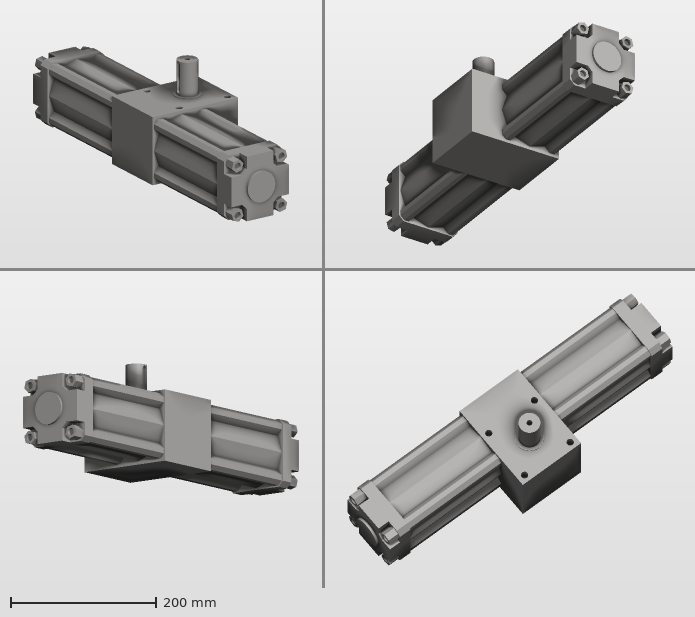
import cadquery as cq
import math


total_length = 502.0
total_height = 151.0

housing_length = 102.0
housing_depth = 141.0
housing_height = 100.0
shaft_to_back = 50.0
mount_hole_spacing = 80.0
mount_hole_diameter = 10.0
mount_hole_depth = 20.0

shaft_diameter = 30.0
shaft_collar_diameter = 40.0
shaft_collar_height = 1.0
center_hole_diameter = 8.0
center_hole_depth = 20.0
drill_point_angle = 118.0

keyway_width = 8.0
keyway_length = 45.0
keyway_top_gap = 2.0
keyway_depth = 4.0

cap_size = 95.0
cap_corner_chamfer = 7.5
cap_length = 36.0
boss_diameter = 45.0
boss_height = 4.0
pocket_size = 25.5
pocket_corner_chamfer = 7.5
pocket_depth = 17.5

nut_spacing = 72.5
nut_corner_diameter = 19.5
nut_recess = 1.0
nut_hole_diameter = 10.0
nut_hole_depth = 5.0

tube_width = 91.0
tube_corner_chamfer = 6.0
lug_inner_edge = 32.0
groove_depth = 8.0
ridge_height = 45.0

housing_back = shaft_to_back
housing_front = housing_back - housing_depth
axis_y = housing_front + cap_size / 2
axis_height = housing_height / 2
housing_bottom = -axis_height
housing_top = housing_bottom + housing_height
shaft_top = housing_bottom + total_height
tube_half_width = tube_width / 2
cap_face_x = total_length / 2 - boss_height
cap_inner_x = cap_face_x - cap_length
pocket_floor_x = cap_face_x - pocket_depth
quadrants = [(first, second) for first in (-1, 1) for second in (-1, 1)]


def cross_section(x):
    """Plane across the cylinder axis: local x is Y, local y is Z, extruding toward +X."""
    return cq.Workplane(cq.Plane((x, axis_y, 0), (0, 1, 0), (1, 0, 0)))


def drilled_hole(x, y, top, diameter, depth):
    """Blind vertical hole with a conical drill point."""
    radius = diameter / 2
    tip = radius / math.tan(math.radians(drill_point_angle / 2))
    half_section = [(0, 0), (radius, 0), (radius, -depth), (0, -depth - tip)]
    hole = cq.Workplane("XZ").polyline(half_section).close().revolve(360, (0, 0, 0), (0, 1, 0))
    return hole.translate((x, y, top))


def make_housing():
    block = cq.Workplane("XY").box(
        housing_length, housing_depth, housing_height, centered=(True, False, False)
    )
    return block.translate((0, housing_front, housing_bottom))


def make_shaft():
    collar = (
        cq.Workplane("XY", origin=(0, 0, housing_top))
        .circle(shaft_collar_diameter / 2)
        .extrude(shaft_collar_height)
    )
    shaft = (
        cq.Workplane("XY", origin=(0, 0, housing_top))
        .circle(shaft_diameter / 2)
        .extrude(shaft_top - housing_top)
    )
    keyway_center = shaft_top - keyway_top_gap - keyway_length / 2
    keyway = (
        cq.Workplane("XZ", origin=(0, -shaft_diameter / 2, keyway_center))
        .slot2D(keyway_length, keyway_width, 90)
        .extrude(-keyway_depth)
    )
    center_hole = drilled_hole(0, 0, shaft_top, center_hole_diameter, center_hole_depth)
    return shaft.cut(keyway).union(collar).cut(center_hole)


def make_tube():
    """Tube with chamfered corner lugs and, on each side, a groove pair around a center ridge."""
    groove_floor = tube_half_width - groove_depth
    groove_edge = lug_inner_edge - groove_depth
    side = [
        (-tube_half_width + tube_corner_chamfer, tube_half_width),
        (-lug_inner_edge, tube_half_width),
        (-groove_edge, groove_floor),
        (0, ridge_height),
        (groove_edge, groove_floor),
        (lug_inner_edge, tube_half_width),
        (tube_half_width - tube_corner_chamfer, tube_half_width),
    ]
    outline = []
    for cos_turn, sin_turn in [(1, 0), (0, -1), (-1, 0), (0, 1)]:
        outline += [(u * cos_turn - v * sin_turn, u * sin_turn + v * cos_turn) for u, v in side]
    return cross_section(-cap_inner_x).polyline(outline).close().extrude(2 * cap_inner_x)


def make_nut(sy, sz):
    """Hexagon nut with a corner on the diagonal of the cap, and a round recess in its end."""
    length = pocket_depth - nut_recess
    place = (sy * nut_spacing / 2, sz * nut_spacing / 2)
    nut = (
        cq.Workplane(cq.Plane((0, 0, 0), (0, 1, 0), (1, 0, 0)))
        .polygon(6, nut_corner_diameter)
        .extrude(length)
        .faces(">X")
        .workplane()
        .hole(nut_hole_diameter, nut_hole_depth)
    )
    diagonal = math.degrees(math.atan2(sz, sy))
    return nut.rotate((0, 0, 0), (1, 0, 0), diagonal).translate(
        (pocket_floor_x, axis_y + place[0], place[1])
    )


def make_cap():
    """End cap on the +X end, with its boss, corner pockets and nuts."""
    cap = (
        cross_section(cap_inner_x)
        .rect(cap_size, cap_size)
        .extrude(cap_length)
        .edges("|X")
        .chamfer(cap_corner_chamfer)
    )
    boss = cross_section(cap_face_x).circle(boss_diameter / 2).extrude(boss_height)
    cap = cap.union(boss)
    outer = cap_size / 2
    inner = outer - pocket_size
    blend = inner + pocket_corner_chamfer
    corner = [(inner, outer), (inner, blend), (blend, inner), (outer, inner), (outer, outer)]
    for sy, sz in quadrants:
        outline = [(sy * y, sz * z) for y, z in corner]
        pocket = cross_section(pocket_floor_x).polyline(outline).close().extrude(pocket_depth)
        cap = cap.cut(pocket).union(make_nut(sy, sz))
    return cap


right_cap = make_cap()
left_cap = right_cap.mirror("YZ")
result = make_tube().union(make_housing()).union(make_shaft()).union(right_cap).union(left_cap)

hole_reach = mount_hole_spacing / 2
for side_x, side_y in quadrants:
    hole_x = side_x * hole_reach
    hole_y = side_y * hole_reach
    result = result.cut(drilled_hole(hole_x, hole_y, housing_top, mount_hole_diameter, mount_hole_depth))